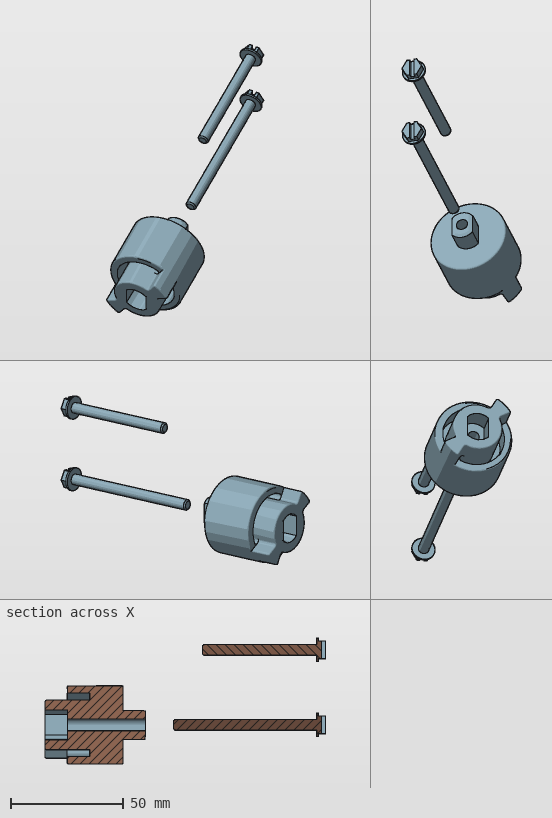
import cadquery as cq
import math

TOTAL_LENGTH = 124.9

BODY_DIAMETER = 35.0
BODY_REAR = 34.8
LUG_HEIGHT = 9.9
EDGE_RADIUS = 0.81
HUB_DIAMETER = 22.2
GROOVE_OUTER_DIAMETER = 28.0
GROOVE_DEPTH = 10.0
LUG_CENTRE_ANGLE = 45.0
LUG_SPAN_ANGLE = 30.5
DRIVE_DIAMETER = 13.1
DRIVE_FLATS = 9.5
DRIVE_LENGTH = 10.0
LEAD_IN_LENGTH = 1.5
LEAD_IN_WIDTH = 0.4
BORE_DIAMETER = 5.1

HEX_FLATS = 8.0
HEX_HEIGHT = 3.1
FLANGE_DIAMETER = 10.5
FLANGE_THICKNESS = 0.9
SLOT_WIDTH = 1.9
SLOT_DEPTH = 1.7
TIP_CHAMFER = 0.6
SHANK_DIAMETER = 4.9
SHORT_SHANK_LENGTH = 50.8
LONG_SHANK_LENGTH = 63.7
SCREW_SPACING = 33.3

BODY_RADIUS = BODY_DIAMETER / 2
HUB_RADIUS = HUB_DIAMETER / 2
GROOVE_OUTER_RADIUS = GROOVE_OUTER_DIAMETER / 2
CORNER_RADIUS = (GROOVE_OUTER_RADIUS - HUB_RADIUS) / 2
HEX_CORNERS = HEX_FLATS / math.cos(math.pi / 6)
DRIVE_END = BODY_REAR + DRIVE_LENGTH
UNDERHEAD = TOTAL_LENGTH - HEX_HEIGHT - FLANGE_THICKNESS
WINDOW_START = LUG_CENTRE_ANGLE + LUG_SPAN_ANGLE / 2
WINDOW_END = LUG_CENTRE_ANGLE + 180 - LUG_SPAN_ANGLE / 2
TOLERANCE = 0.01


def profile_at(y):
    """Workplane at Y = y with X and Z as its axes; a negative extrusion goes toward +Y."""
    return cq.Workplane(cq.Plane(origin=(0, y, 0), xDir=(1, 0, 0), normal=(0, -1, 0)))


def rod(diameter, start, end):
    """Round bar on the Y axis from start to end."""
    return profile_at(start).circle(diameter / 2).extrude(start - end)


def polar(radius, angle):
    """Point in X and Z at a radius and an angle in degrees."""
    return (radius * math.cos(math.radians(angle)), radius * math.sin(math.radians(angle)))


def ring_sector(outer_radius, start, end):
    """Ring sector between two lugs, from the hub out to outer_radius."""
    middle = (WINDOW_START + WINDOW_END) / 2
    return (
        profile_at(start)
        .moveTo(*polar(HUB_RADIUS, WINDOW_START))
        .lineTo(*polar(outer_radius, WINDOW_START))
        .threePointArc(polar(outer_radius, middle), polar(outer_radius, WINDOW_END))
        .lineTo(*polar(HUB_RADIUS, WINDOW_END))
        .threePointArc(polar(HUB_RADIUS, middle), polar(HUB_RADIUS, WINDOW_START))
        .close()
        .extrude(start - end)
    )


def both_sides(shape):
    """The shape together with its copy turned half a turn about the Y axis."""
    return shape.union(shape.rotate((0, 0, 0), (0, 1, 0), 180))


def lug_windows():
    """Spaces between the lugs, rounded where a lug meets the hub."""
    corners = cq.selectors.BoxSelector(
        (-HUB_RADIUS - TOLERANCE, 0, -HUB_RADIUS - TOLERANCE),
        (HUB_RADIUS + TOLERANCE, LUG_HEIGHT, HUB_RADIUS + TOLERANCE),
    )
    sector = ring_sector(BODY_DIAMETER, 0, LUG_HEIGHT)
    return both_sides(sector.edges("|Y").edges(corners).fillet(CORNER_RADIUS))


def grooves():
    """Curved grooves around the hub, sunk below the spaces between the lugs."""
    groove = ring_sector(GROOVE_OUTER_RADIUS, LUG_HEIGHT, LUG_HEIGHT + GROOVE_DEPTH)
    return both_sides(groove.edges("|Y").fillet(CORNER_RADIUS - TOLERANCE))


def double_flat(start, end):
    """Round bar with two flats that face -X and +X."""
    slab = profile_at(start).rect(DRIVE_FLATS, DRIVE_DIAMETER).extrude(start - end)
    return rod(DRIVE_DIAMETER, start, end).intersect(slab)


def drive_boss():
    """Double-flat boss on the rear face, tapered toward its end."""
    boss = double_flat(BODY_REAR, DRIVE_END)
    return boss.faces(">Y").edges().chamfer(LEAD_IN_LENGTH, LEAD_IN_WIDTH)


def on_rounded_outline(edge):
    """Whether the edge lies on the front face of the lugs or on the outer cylinder."""
    points = [edge.positionAt(fraction) for fraction in (0, 0.5, 1)]
    on_front = all(abs(point.y) < TOLERANCE for point in points)
    on_cylinder = all(abs(math.hypot(point.x, point.z) - BODY_RADIUS) < TOLERANCE for point in points)
    return on_front or on_cylinder


def rounded_body():
    """Cylinder with two lugs and a hub at the front, its outer edges rounded."""
    body = rod(BODY_DIAMETER, 0, BODY_REAR).cut(lug_windows())
    outline_edges = [edge for edge in body.edges().vals() if on_rounded_outline(edge)]
    return body.newObject(outline_edges).fillet(EDGE_RADIUS)


def make_coupler():
    """Coupler with a drive socket at the front, a matching boss at the rear and a through bore."""
    return (
        rounded_body()
        .cut(grooves())
        .cut(double_flat(0, DRIVE_LENGTH))
        .union(drive_boss())
        .cut(rod(BORE_DIAMETER, 0, DRIVE_END))
    )


def make_screw(shank_length, height):
    """Slotted hexagon flange screw that points toward -Y, its axis at Z = height."""
    flange_top = TOTAL_LENGTH - HEX_HEIGHT
    tip = UNDERHEAD - shank_length
    shank = rod(SHANK_DIAMETER, tip, UNDERHEAD).faces("<Y").chamfer(TIP_CHAMFER)
    flange = rod(FLANGE_DIAMETER, UNDERHEAD, flange_top)
    hexagon = profile_at(flange_top).polygon(6, HEX_CORNERS).extrude(-HEX_HEIGHT)
    slot = profile_at(TOTAL_LENGTH - SLOT_DEPTH).rect(SLOT_WIDTH, FLANGE_DIAMETER).extrude(-SLOT_DEPTH)
    return shank.union(flange).union(hexagon).cut(slot).translate((0, 0, height))


coupler = make_coupler()
screws = [
    make_screw(length, height)
    for length, height in (
        (SHORT_SHANK_LENGTH, SCREW_SPACING),
        (LONG_SHANK_LENGTH, 0),
    )
]

result = cq.Compound.makeCompound([coupler.val(), *[screw.val() for screw in screws]])